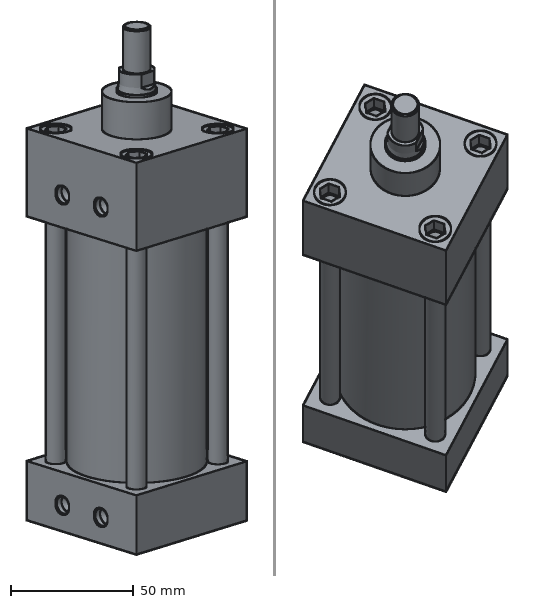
import cadquery as cq
import math

TOTAL_HEIGHT = 212.7
BLOCK_SIDE = 63.5

CAP_HEIGHT = 25.5
HEAD_BOTTOM = 130.6
HEAD_HEIGHT = 37.9
HEAD_TOP = HEAD_BOTTOM + HEAD_HEIGHT
COLLAR_DIAMETER = 28.5
COLLAR_HEIGHT = 16.0
COLLAR_TOP = HEAD_TOP + COLLAR_HEIGHT
GLAND_DIAMETER = 47.6
LIP_DIAMETER = 16.5
LIP_HEIGHT = 1.0
LIP_TOP = COLLAR_TOP + LIP_HEIGHT

TUBE_DIAMETER = 57.5
TIE_ROD_DIAMETER = 8.3
TIE_ROD_SPACING = 46.8

SCREW_HEAD_DIAMETER = 13.0
SCREW_HEAD_SINK = 0.5
SOCKET_ACROSS_FLATS = 7.9
SOCKET_DEPTH = 6.4
SOCKET_DRILL_DIAMETER = 6.8
DRILL_POINT_ANGLE = 118

PORT_DIAMETER = 7.2
PORT_MOUTH_DIAMETER = 8.0
PORT_DEPTH = 3.2
PORT_SPACING = 22.3
CAP_PORT_HEIGHT = 11.3
HEAD_PORT_RISE = 14.0
HEAD_PORT_HEIGHT = HEAD_BOTTOM + HEAD_PORT_RISE

ROD_DIAMETER = 14.7
ROD_FOOT_DIAMETER = 15.7
ROD_SHOULDER_Z = 194.0
ROD_CONE_TOP = 188.3
ROD_BOTTOM = HEAD_TOP
THREAD_DIAMETER = 11.3
THREAD_CHAMFER = 0.6
WRENCH_FLAT_WIDTH = 12.8


def disc(diameter, bottom, top):
    """Upright cylinder on the Z axis."""
    return cq.Workplane("XY").workplane(offset=bottom).circle(diameter / 2).extrude(top - bottom)


def block(bottom, height):
    """Square end block."""
    return cq.Workplane("XY").workplane(offset=bottom).rect(BLOCK_SIDE, BLOCK_SIDE).extrude(height)


def drill_point_depth(diameter):
    """Depth of the cone that a drill leaves below a hole."""
    return diameter / 2 / math.tan(math.radians(DRILL_POINT_ANGLE / 2))


def port(x, z):
    """Cutter for one countersunk blind port, running in +Y from the -Y face."""
    radius = PORT_DIAMETER / 2
    mouth_radius = PORT_MOUTH_DIAMETER / 2
    profile = [
        (0, 0),
        (mouth_radius, 0),
        (radius, mouth_radius - radius),
        (radius, PORT_DEPTH),
        (0, PORT_DEPTH + drill_point_depth(PORT_DIAMETER)),
    ]
    cutter = cq.Workplane("XY").polyline(profile).close().revolve(360, (0, 0), (0, 1))
    return cutter.translate((x, -BLOCK_SIDE / 2, z))


def screw_socket(x, y):
    """Cutter for one sunk screw head with its hexagon socket and drill point."""
    across_corners = SOCKET_ACROSS_FLATS / math.cos(math.radians(30))
    head_z = HEAD_TOP - SCREW_HEAD_SINK
    socket_z = head_z - SOCKET_DEPTH
    sink = disc(SCREW_HEAD_DIAMETER, head_z, HEAD_TOP)
    hexagon = cq.Workplane("XY").workplane(offset=socket_z).polygon(6, across_corners).extrude(SOCKET_DEPTH)
    point = cq.Solid.makeCone(
        SOCKET_DRILL_DIAMETER / 2,
        0,
        drill_point_depth(SOCKET_DRILL_DIAMETER),
        pnt=cq.Vector(0, 0, socket_z),
        dir=cq.Vector(0, 0, -1),
    )
    return sink.union(hexagon).union(cq.Workplane(point)).translate((x, y, 0))


def make_rod():
    """Piston rod with a stepped-down threaded end and two wrench flats facing +X and -X."""
    radius = ROD_DIAMETER / 2
    foot_radius = ROD_FOOT_DIAMETER / 2
    thread_radius = THREAD_DIAMETER / 2
    profile = [
        (0, ROD_BOTTOM),
        (foot_radius, ROD_BOTTOM),
        (foot_radius, LIP_TOP),
        (radius, ROD_CONE_TOP),
        (radius, ROD_SHOULDER_Z),
        (thread_radius, ROD_SHOULDER_Z),
        (thread_radius, TOTAL_HEIGHT - THREAD_CHAMFER),
        (thread_radius - THREAD_CHAMFER, TOTAL_HEIGHT),
        (0, TOTAL_HEIGHT),
    ]
    rod = cq.Workplane("XZ").polyline(profile).close().revolve(360, (0, 0), (0, 1))
    flat_x = WRENCH_FLAT_WIDTH / 2
    runout = ROD_DIAMETER - flat_x
    for side in (-1, 1):
        cutter = (
            cq.Workplane("XZ")
            .moveTo(side * flat_x, ROD_SHOULDER_Z)
            .lineTo(side * flat_x, ROD_CONE_TOP)
            .lineTo(side * ROD_DIAMETER, ROD_CONE_TOP - runout)
            .lineTo(side * ROD_DIAMETER, ROD_SHOULDER_Z)
            .close()
            .extrude(ROD_DIAMETER, both=True)
        )
        rod = rod.cut(cutter)
    return rod


def make_housing():
    """End cap, barrel, tie rods, head and gland collar as one solid."""
    corners = [
        (sx * TIE_ROD_SPACING / 2, sy * TIE_ROD_SPACING / 2)
        for sx in (-1, 1)
        for sy in (-1, 1)
    ]
    housing = block(0, CAP_HEIGHT).union(block(HEAD_BOTTOM, HEAD_HEIGHT))
    housing = housing.union(disc(TUBE_DIAMETER, CAP_HEIGHT, HEAD_BOTTOM))
    tie_rod = disc(TIE_ROD_DIAMETER, CAP_HEIGHT, HEAD_BOTTOM)
    for x, y in corners:
        housing = housing.union(tie_rod.translate((x, y, 0)))
    housing = housing.union(disc(COLLAR_DIAMETER, HEAD_TOP, COLLAR_TOP))
    housing = housing.union(disc(LIP_DIAMETER, COLLAR_TOP, LIP_TOP))
    for x, y in corners:
        housing = housing.cut(screw_socket(x, y))
    for z in (CAP_PORT_HEIGHT, HEAD_PORT_HEIGHT):
        for side in (-1, 1):
            housing = housing.cut(port(side * PORT_SPACING / 2, z))
    housing = housing.cut(disc(ROD_FOOT_DIAMETER, ROD_BOTTOM, LIP_TOP))
    return housing.union(disc(GLAND_DIAMETER, HEAD_BOTTOM, HEAD_TOP), clean=False)


housing = make_housing()
piston_rod = make_rod()

result = cq.Compound.makeCompound([housing.val(), piston_rod.val()])